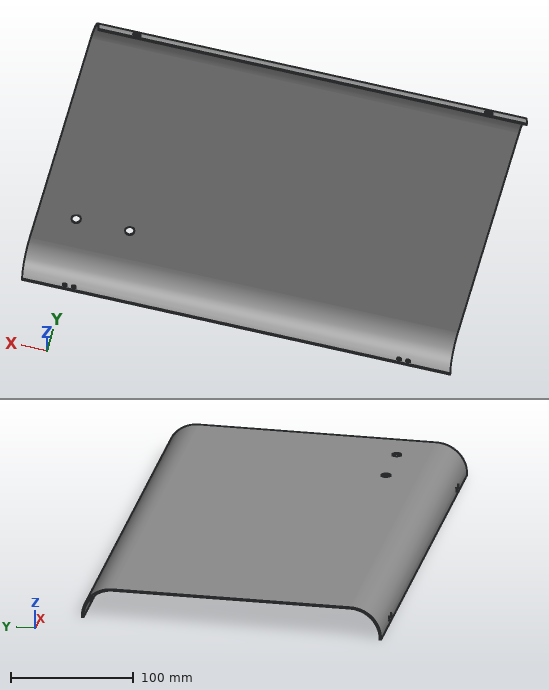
import cadquery as cq

length = 360.5
width = 248.5
height = 26.5
thickness = 1.5
bend_radius = 25.5

top_hole_diameter = 7.5
top_hole_outer_x = 148.0
top_hole_spacing = 45.0
top_hole_y = -72.0

front_hole_diameter = 3.5
front_hole_inner_x = 137.0
front_hole_spacing = 7.5
front_hole_z = 4.5

back_hole_diameter = 6.5
back_hole_x = top_hole_outer_x
back_hole_z = front_hole_z


def arch(inset):
    """Full-length solid under the cover's outer surface, shrunk inward by inset."""
    arch_height = height - inset
    return (
        cq.Workplane("XY")
        .box(length, width - 2 * inset, arch_height, centered=(True, True, False))
        .edges("|X and >Z")
        .fillet(bend_radius - inset)
    )


def wall_holes(x_positions, z, diameter, y_direction):
    """Cutters along Y, from the middle of the part out through one side wall."""
    return (
        cq.Workplane("XZ")
        .pushPoints([(x, z) for x in x_positions])
        .circle(diameter / 2)
        .extrude(-y_direction * width)
    )


cover = arch(0).cut(arch(thickness))

top_hole_xs = [top_hole_outer_x - top_hole_spacing, top_hole_outer_x]
top_holes = (
    cq.Workplane("XY")
    .pushPoints([(x, top_hole_y) for x in top_hole_xs])
    .circle(top_hole_diameter / 2)
    .extrude(2 * height)
)

front_hole_outer_x = front_hole_inner_x + front_hole_spacing
front_hole_xs = [side * x for side in (-1, 1) for x in (front_hole_inner_x, front_hole_outer_x)]
front_holes = wall_holes(front_hole_xs, front_hole_z, front_hole_diameter, -1)
back_holes = wall_holes([-back_hole_x, back_hole_x], back_hole_z, back_hole_diameter, 1)

result = cover.cut(top_holes).cut(front_holes).cut(back_holes)